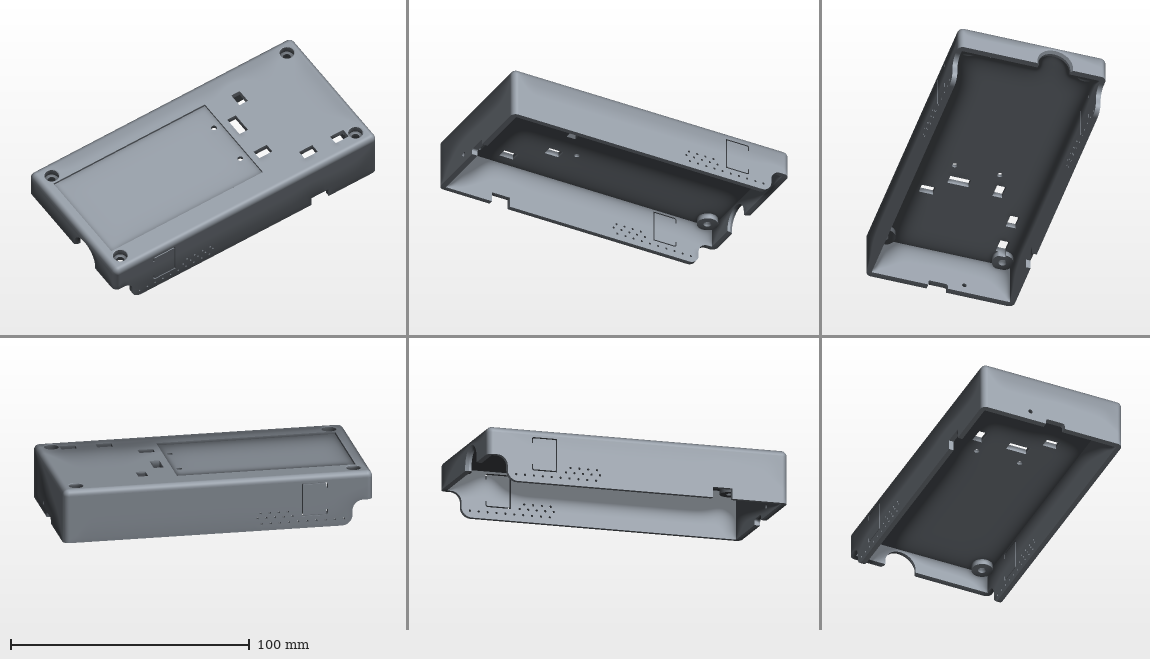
import cadquery as cq
import math

WIDTH = 65.0
LENGTH = 132.5
HEIGHT = 23.0
EDGE_RADIUS = 2.5
SIDE_WALL = 2.1
END_WALL = 2.5
ROOF = 2.5

STEP_DEPTH = 8.9
STEP_HEIGHT = 10.9
STEP_RADIUS = 4.5

ARCH_X = 9.8
ARCH_Z = 12.3
ARCH_OUTER_RADIUS = 7.8
ARCH_INNER_RADIUS = 7.0
ARCH_CHAMFER_DEPTH = 1.3

REAR_NOTCH_X = -1.2
REAR_NOTCH_WIDTH = 8.6
REAR_NOTCH_HEIGHT = 2.5
REAR_NOTCH_RADIUS = 1.0
REAR_HOLE_X = 10.3
REAR_HOLE_Z = 4.1
REAR_HOLE_DIAMETER = 2.0

SIDE_NOTCH_Y = 37.4
SIDE_NOTCH_WIDTH = 8.6
SIDE_NOTCH_HEIGHT = 4.5

SCREW_X = 25.8
SCREW_Y_FRONT = -59.1
SCREW_Y_REAR = 59.6
SCREW_DIAMETER = 3.5
HEAD_DIAMETER = 6.1
HEAD_RIM_DIAMETER = 6.8
HEAD_RIM_DEPTH = 0.1
HEAD_DEPTH = 3.0
BOSS_DIAMETER = 9.0
BOSS_FLOOR = 2.0
BOSS_BOTTOM = HEIGHT - HEAD_DEPTH - BOSS_FLOOR

SCREEN_WIDTH = 43.7
SCREEN_LENGTH = 76.5
SCREEN_Y = -22.7
SCREEN_DEPTH = 1.0
SCREEN_HOLE_X = 10.0
SCREEN_HOLE_Y = 12.2
SCREEN_HOLE_DIAMETER = 2.4

WINDOW_SHORT = 4.2
WINDOW_LONG = 6.6
WINDOWS = [
    (23.8, 52.9, WINDOW_SHORT, WINDOW_LONG),
    (23.5, 37.5, WINDOW_SHORT, WINDOW_LONG),
    (12.7, 21.7, WINDOW_SHORT, WINDOW_LONG),
    (-16.5, 29.5, 6.2, WINDOW_SHORT),
    (-5.2, 21.0, 9.3, WINDOW_SHORT),
]

SOUND_HOLE_DIAMETER = 1.0
SOUND_ROWS = [
    (-18.0, -29.7, 7.5, 4),
    (-16.7, -31.7, 5.4, 5),
    (-18.4, -53.7, 2.9, 10),
]

TAB_REAR_Y = -35.6
TAB_FRONT_Y = -46.8
TAB_BOTTOM_Z = 5.2
TAB_TOP_Z = 19.6
TAB_SLOT = 0.5
TAB_LIP = 2.6
TAB_INNER_RADIUS = 0.5
TAB_OUTER_RADIUS = TAB_INNER_RADIUS + TAB_SLOT


def box(x_range, y_range, z_range):
    """Box between the given (low, high) limits."""
    (x0, x1), (y0, y1), (z0, z1) = x_range, y_range, z_range
    return cq.Workplane("XY").box(x1 - x0, y1 - y0, z1 - z0, centered=False).translate((x0, y0, z0))


def vertical_cylinder(x, y, diameter, z_bottom, z_top):
    base = cq.Workplane("XY", origin=(x, y, z_bottom))
    return base.circle(diameter / 2).extrude(z_top - z_bottom)


def make_shell():
    outside = cq.Workplane("XY").box(WIDTH, LENGTH, HEIGHT, centered=(True, True, False))
    outside = outside.edges("|Z or >Z").fillet(EDGE_RADIUS)
    cavity = cq.Workplane("XY").box(
        WIDTH - 2 * SIDE_WALL, LENGTH - 2 * END_WALL, HEIGHT - ROOF, centered=(True, True, False)
    )
    return outside.cut(cavity)


def make_front_step():
    """Cutter below the front step, with a convex lower and a concave upper corner."""
    front = -LENGTH / 2
    back = front + STEP_DEPTH
    side_profile = (
        cq.Workplane("YZ")
        .moveTo(front, 0)
        .lineTo(back + STEP_RADIUS, 0)
        .radiusArc((back, STEP_RADIUS), STEP_RADIUS)
        .lineTo(back, STEP_HEIGHT - STEP_RADIUS)
        .radiusArc((back - STEP_RADIUS, STEP_HEIGHT), -STEP_RADIUS)
        .lineTo(front, STEP_HEIGHT)
        .close()
    )
    return side_profile.extrude(WIDTH / 2, both=True)


def make_arch():
    """Arch cutter: a sloped chamfer on the outer face, then a straight passage."""

    def arch_outline(radius, y):
        return (
            cq.Workplane("XZ", origin=(ARCH_X, y, ARCH_Z))
            .moveTo(-radius, -ARCH_Z)
            .lineTo(-radius, 0)
            .threePointArc((0, radius), (radius, 0))
            .lineTo(radius, -ARCH_Z)
            .close()
        )

    front = -LENGTH / 2
    slope = math.degrees(math.atan2(ARCH_OUTER_RADIUS - ARCH_INNER_RADIUS, ARCH_CHAMFER_DEPTH))
    flare = arch_outline(ARCH_OUTER_RADIUS, front).extrude(-ARCH_CHAMFER_DEPTH, taper=slope)
    passage = arch_outline(ARCH_INNER_RADIUS, front).extrude(-END_WALL)
    return flare.union(passage)


def make_rear_openings():
    half_width = REAR_NOTCH_WIDTH / 2
    wall_range = (LENGTH / 2 - END_WALL, LENGTH / 2)
    notch = box(
        (REAR_NOTCH_X - half_width, REAR_NOTCH_X + half_width), wall_range, (0, REAR_NOTCH_HEIGHT)
    )
    notch = notch.edges("|Y and >Z").fillet(REAR_NOTCH_RADIUS)
    hole_start = cq.Workplane("XZ", origin=(REAR_HOLE_X, LENGTH / 2, REAR_HOLE_Z))
    return notch.union(hole_start.circle(REAR_HOLE_DIAMETER / 2).extrude(END_WALL))


def make_side_notch():
    half_width = SIDE_NOTCH_WIDTH / 2
    return box(
        (WIDTH / 2 - SIDE_WALL, WIDTH / 2),
        (SIDE_NOTCH_Y - half_width, SIDE_NOTCH_Y + half_width),
        (0, SIDE_NOTCH_HEIGHT),
    )


def screw_positions():
    return [(x, y) for x in (-SCREW_X, SCREW_X) for y in (SCREW_Y_FRONT, SCREW_Y_REAR)]


def make_boss(x, y):
    return vertical_cylinder(x, y, BOSS_DIAMETER, BOSS_BOTTOM, HEIGHT - ROOF)


def make_screw_hole(x, y):
    """Through hole with a flat-bottomed head pocket with a shallow flared rim."""
    head = vertical_cylinder(x, y, HEAD_DIAMETER, HEIGHT - HEAD_DEPTH, HEIGHT)
    rim_top = cq.Workplane("XY", origin=(x, y, HEIGHT)).circle(HEAD_RIM_DIAMETER / 2)
    rim = rim_top.workplane(offset=-HEAD_RIM_DEPTH).circle(HEAD_DIAMETER / 2).loft()
    shank = vertical_cylinder(x, y, SCREW_DIAMETER, BOSS_BOTTOM, HEIGHT)
    return head.union(rim).union(shank)


def make_screen_recess():
    recess = box(
        (-SCREEN_WIDTH / 2, SCREEN_WIDTH / 2),
        (SCREEN_Y - SCREEN_LENGTH / 2, SCREEN_Y + SCREEN_LENGTH / 2),
        (HEIGHT - SCREEN_DEPTH, HEIGHT),
    )
    for x in (-SCREEN_HOLE_X, SCREEN_HOLE_X):
        hole = vertical_cylinder(x, SCREEN_HOLE_Y, SCREEN_HOLE_DIAMETER, HEIGHT - ROOF, HEIGHT)
        recess = recess.union(hole)
    return recess


def make_window(x, y, size_x, size_y):
    """Straight opening that also trims the edge of a neighbouring boss."""
    return box(
        (x - size_x / 2, x + size_x / 2), (y - size_y / 2, y + size_y / 2), (BOSS_BOTTOM, HEIGHT)
    )


def make_sound_holes():
    centers = []
    for rear_y, front_y, z, count in SOUND_ROWS:
        pitch = (rear_y - front_y) / (count - 1)
        centers += [(rear_y - i * pitch, z) for i in range(count)]
    holes = cq.Workplane("YZ").pushPoints(centers).circle(SOUND_HOLE_DIAMETER / 2)
    return holes.extrude(WIDTH / 2, both=True)


def make_tab_slot():
    """C-shaped slot, open toward the front, that runs through both side walls."""
    across = (-WIDTH / 2, WIDTH / 2)
    frame = box(across, (TAB_FRONT_Y, TAB_REAR_Y), (TAB_BOTTOM_Z, TAB_TOP_Z))
    tab = box(
        across,
        (TAB_FRONT_Y + TAB_SLOT, TAB_REAR_Y - TAB_SLOT),
        (TAB_BOTTOM_Z + TAB_SLOT, TAB_TOP_Z - TAB_SLOT),
    )
    frame = frame.edges("|X and <Y").fillet(TAB_OUTER_RADIUS)
    tab = tab.edges("|X").fillet(TAB_INNER_RADIUS)
    hinge = box(
        across,
        (TAB_FRONT_Y, TAB_FRONT_Y + TAB_SLOT),
        (TAB_BOTTOM_Z + TAB_LIP, TAB_TOP_Z - TAB_LIP),
    )
    return frame.cut(tab).cut(hinge)


result = make_shell()
for screw_x, screw_y in screw_positions():
    result = result.union(make_boss(screw_x, screw_y))
for screw_x, screw_y in screw_positions():
    result = result.cut(make_screw_hole(screw_x, screw_y))
for window in WINDOWS:
    result = result.cut(make_window(*window))
result = result.cut(make_screen_recess())
result = result.cut(make_front_step())
result = result.cut(make_arch())
result = result.cut(make_rear_openings())
result = result.cut(make_side_notch())
result = result.cut(make_sound_holes())
result = result.cut(make_tab_slot())